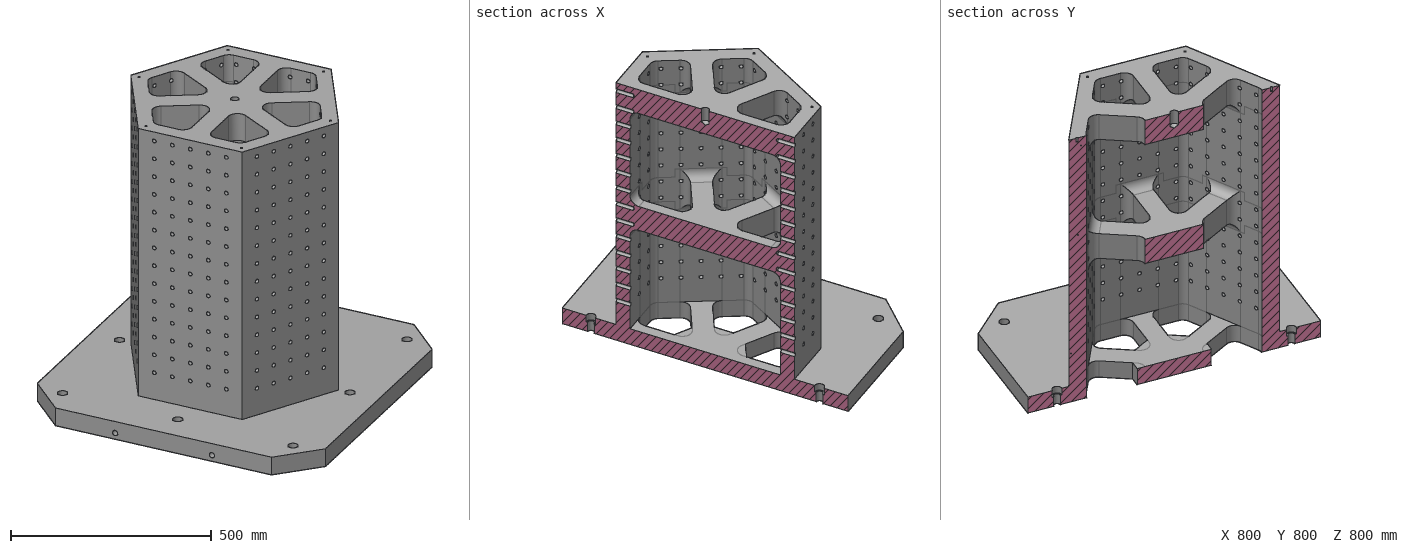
import cadquery as cq
import math

base_size = 800.0
corner_cut = base_size / 8
base_thickness = base_size / 16
total_height = 800.0

tower_width = 500.0
wall = 40.0
tower_corner_radius = tower_width / 2 / math.cos(math.radians(30))
inner_width = tower_width - 2 * wall
inner_corner_radius = inner_width / 2 / math.cos(math.radians(30))
inner_fillet = 25.0

plate_thickness = 75.0
middle_plate_height = total_height / 2
middle_plate_bottom = middle_plate_height - plate_thickness / 2
middle_plate_top = middle_plate_height + plate_thickness / 2
top_plate_bottom = total_height - plate_thickness
spoke_width = 55.0
hub_width = 203.0

grid_pitch = base_size / 16
grid_columns = 5
grid_rows = 14
grid_top_margin = grid_pitch / 2
grid_diameter = grid_pitch / 5
grid_depth = 48.0

mount_spacing = 320.0
mount_diameter = 18.0
mount_bore_diameter = 26.0
mount_bore_depth = 20.0

tip_angle = 118.0
lift_diameter = 21.0
lift_depth = 40.0
side_diameter = 14.0
side_depth = 32.0
side_offset = 134.0
side_height = 18.0

corner_hole_diameter = 5.0
corner_hole_depth = 12.0
corner_hole_radius = 266.0


def hex_prism(corner_radius, bottom, top):
    """Upright hexagonal prism with two corners on the X axis."""
    hexagon = cq.Workplane("XY").workplane(offset=bottom).polygon(6, 2 * corner_radius)
    return hexagon.extrude(top - bottom)


def around(shape):
    """The shape and its five copies, turned about Z in steps of 60 degrees."""
    copies = [shape.rotate((0, 0, 0), (0, 0, 1), 60 * step).val() for step in range(6)]
    return cq.Workplane(cq.Compound.makeCompound(copies))


def pocket(bottom, top):
    """Opening towards +X, between two spokes and the tower wall."""
    spoke_angle = math.radians(30)
    inner_end = spoke_width / 2 / math.sin(spoke_angle)
    along = inner_width / 2
    across = spoke_width / 2
    side_x = along * math.cos(spoke_angle) + across * math.sin(spoke_angle)
    side_y = along * math.sin(spoke_angle) - across * math.cos(spoke_angle)
    corners = [(inner_end, 0), (side_x, -side_y), (inner_corner_radius, 0), (side_x, side_y)]
    outline = cq.Workplane("XY").workplane(offset=bottom).polyline(corners).close()
    return outline.extrude(top - bottom).edges("|Z").fillet(inner_fillet)


def drilled_hole(diameter, depth):
    """Blind hole drilled along -Z from the origin, with a conical end."""
    radius = diameter / 2
    tip = radius / math.tan(math.radians(tip_angle / 2))
    profile = [(0, 0), (radius, 0), (radius, -depth), (0, -depth - tip)]
    return cq.Workplane("XZ").polyline(profile).close().revolve(360, (0, 0), (0, 1))


def base_plate():
    """Base with cut corners and eight counterbored mounting holes."""
    plate = cq.Workplane("XY").rect(base_size, base_size).extrude(base_thickness)
    plate = plate.edges("|Z").chamfer(corner_cut)
    offsets = (-mount_spacing, 0, mount_spacing)
    centres = [(x, y) for x in offsets for y in offsets if (x, y) != (0, 0)]
    plate = plate.faces(">Z").workplane(origin=(0, 0, base_thickness)).pushPoints(centres)
    return plate.cboreHole(mount_diameter, mount_bore_diameter, mount_bore_depth)


def cavities():
    """Two hollow chambers, separated by the middle plate."""
    lower = (base_thickness, middle_plate_bottom)
    upper = (middle_plate_top, top_plate_bottom)
    chambers = cq.Workplane("XY")
    for bottom, top in (lower, upper):
        chamber = hex_prism(inner_corner_radius, bottom, top)
        chambers = chambers.add(chamber.edges("|Z").fillet(inner_fillet))
    return chambers.combine()


def spoke_cove(plate_face, direction):
    """Concave blend between the wall and a horizontal plate face, over one spoke.

    The direction is 1 for a blend above the plate face and -1 for one below it.
    """
    wall_y = -inner_width / 2
    blend_end = plate_face + direction * inner_fillet
    length = spoke_width + 3 * inner_fillet
    profile = cq.Workplane("YZ", origin=(-length / 2, 0, 0)).moveTo(wall_y, plate_face)
    profile = profile.lineTo(wall_y + inner_fillet, plate_face)
    bulge = inner_fillet * (1 - math.sqrt(0.5))
    profile = profile.threePointArc((wall_y + bulge, plate_face + direction * bulge), (wall_y, blend_end))
    return profile.close().extrude(length)


def base_openings():
    """Pockets through the base, cut short by a flat of the hub."""
    beyond_hub = cq.Workplane("XY").box(base_size, base_size, base_thickness, centered=(False, True, False))
    return around(pocket(0, base_thickness).intersect(beyond_hub.translate((hub_width / 2, 0, 0))))


def grid_holes():
    """Fixing holes of the face towards -Y."""
    hole = drilled_hole(grid_diameter, grid_depth).rotate((0, 0, 0), (1, 0, 0), 90)
    holes = []
    for column in range(grid_columns):
        x = (column - (grid_columns - 1) / 2) * grid_pitch
        for row in range(grid_rows):
            z = total_height - grid_top_margin - row * grid_pitch
            holes.append(hole.translate((x, -tower_width / 2, z)).val())
    return cq.Workplane(cq.Compound.makeCompound(holes))


def corner_hole():
    """Small blind hole near the top corner towards +X."""
    plane = cq.Workplane("XY", origin=(corner_hole_radius, 0, total_height))
    return plane.circle(corner_hole_diameter / 2).extrude(-corner_hole_depth)


result = base_plate().union(hex_prism(tower_corner_radius, base_thickness, total_height))
result = result.cut(around(pocket(base_thickness, total_height)))
spaces = cavities()
for plate_face, direction in ((middle_plate_bottom, -1), (middle_plate_top, 1), (top_plate_bottom, -1)):
    spaces = spaces.cut(around(spoke_cove(plate_face, direction)))
result = result.cut(spaces, clean=False)
result = result.cut(base_openings(), clean=False)

result = result.cut(around(grid_holes()), clean=False)
result = result.cut(around(corner_hole()), clean=False)
result = result.cut(drilled_hole(lift_diameter, lift_depth).translate((0, 0, total_height)), clean=False)

side_hole = drilled_hole(side_diameter, side_depth).rotate((0, 0, 0), (1, 0, 0), 90)
for side in (-1, 1):
    position = (side * side_offset, -base_size / 2, side_height)
    result = result.cut(side_hole.translate(position), clean=False)